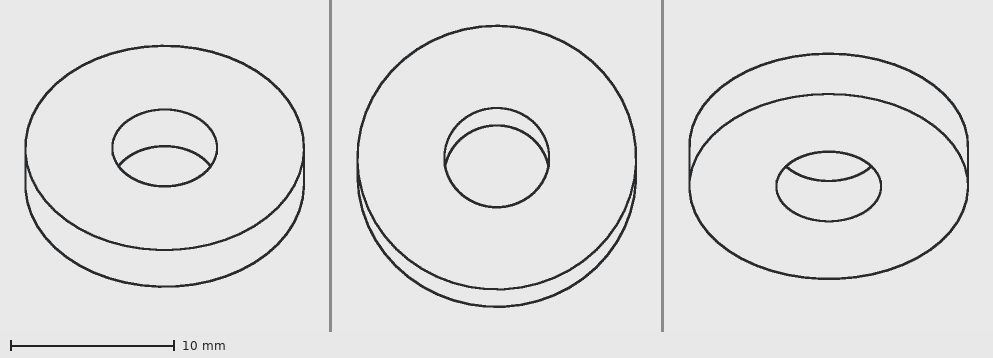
import cadquery as cq

outer_diameter = 17.0
hole_diameter = 6.4
thickness = 3.3

result = (
    cq.Workplane("XY")
    .circle(outer_diameter / 2)
    .circle(hole_diameter / 2)
    .extrude(thickness)
)